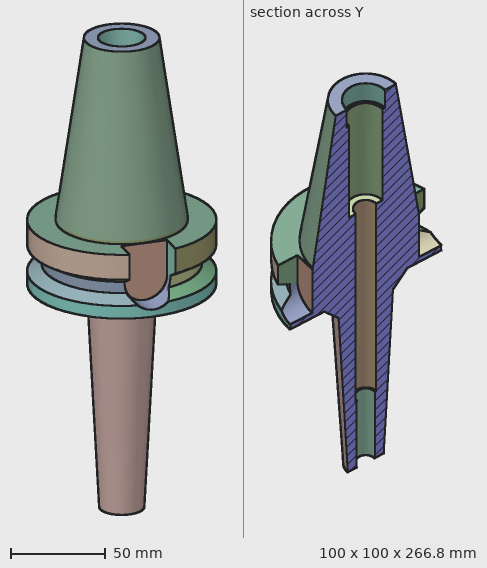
import cadquery as cq

total_height = 266.8
taper_length = 102.0
collar_height = 1.5
flange_height = 36.3
neck_cone_height = 10.1

flange_radius = 50.02
groove_radius = 42.5
upper_rim_height = 14.1
groove_floor_height = 6.5
groove_slope_height = 4.3

taper_large_radius = 35.0
taper_small_radius = 20.0
neck_cone_top_radius = 27.5
neck_radius = 18.1
nose_radius = 12.0

thread_bore_radius = 12.5
thread_bore_depth = 13.0
middle_bore_radius = 11.0
middle_bore_depth = 80.0
lower_bore_radius = 6.7
tool_bore_radius = 6.0
tool_bore_depth = 49.0

slot_width = 25.5
slot_face_distance = 35.5
slot_depth = 32.3

gauge_z = total_height - taper_length
flange_top_z = gauge_z - collar_height
flange_bottom_z = flange_top_z - flange_height
neck_top_z = flange_bottom_z - neck_cone_height


def make_body():
    """Revolve the outer half profile about the Z axis."""
    groove_top_z = flange_top_z - upper_rim_height
    floor_top_z = groove_top_z - groove_slope_height
    floor_bottom_z = floor_top_z - groove_floor_height
    groove_bottom_z = floor_bottom_z - groove_slope_height
    profile = [
        (0, 0),
        (nose_radius, 0),
        (neck_radius, neck_top_z),
        (neck_cone_top_radius, flange_bottom_z),
        (flange_radius, flange_bottom_z),
        (flange_radius, groove_bottom_z),
        (groove_radius, floor_bottom_z),
        (groove_radius, floor_top_z),
        (flange_radius, groove_top_z),
        (flange_radius, flange_top_z),
        (taper_large_radius, flange_top_z),
        (taper_large_radius, gauge_z),
        (taper_small_radius, total_height),
        (0, total_height),
    ]
    return cq.Workplane("XZ").polyline(profile).close().revolve(360, (0, 0), (0, 1))


def make_bore():
    """Stack of coaxial cylinders, each running from its floor to the top."""
    steps = [
        (tool_bore_radius, 0),
        (lower_bore_radius, tool_bore_depth),
        (middle_bore_radius, total_height - middle_bore_depth),
        (thread_bore_radius, total_height - thread_bore_depth),
    ]
    bore = cq.Workplane("XY")
    for radius, floor_z in steps:
        step = cq.Workplane("XY", origin=(0, 0, floor_z)).circle(radius)
        bore = bore.add(step.extrude(total_height - floor_z))
    return bore.combine()


def make_drive_slot(side):
    """Round-bottomed slot open at the flange top and rim; side is +1 or -1 along X."""
    half_width = slot_width / 2
    bottom_z = flange_top_z - slot_depth
    return (
        cq.Workplane("YZ", origin=(side * slot_face_distance, 0, 0))
        .moveTo(-half_width, flange_top_z)
        .lineTo(-half_width, bottom_z + half_width)
        .threePointArc((0, bottom_z), (half_width, bottom_z + half_width))
        .lineTo(half_width, flange_top_z)
        .close()
        .extrude(side * flange_radius)
    )


result = make_body().cut(make_bore())
for side in (-1, 1):
    result = result.cut(make_drive_slot(side))